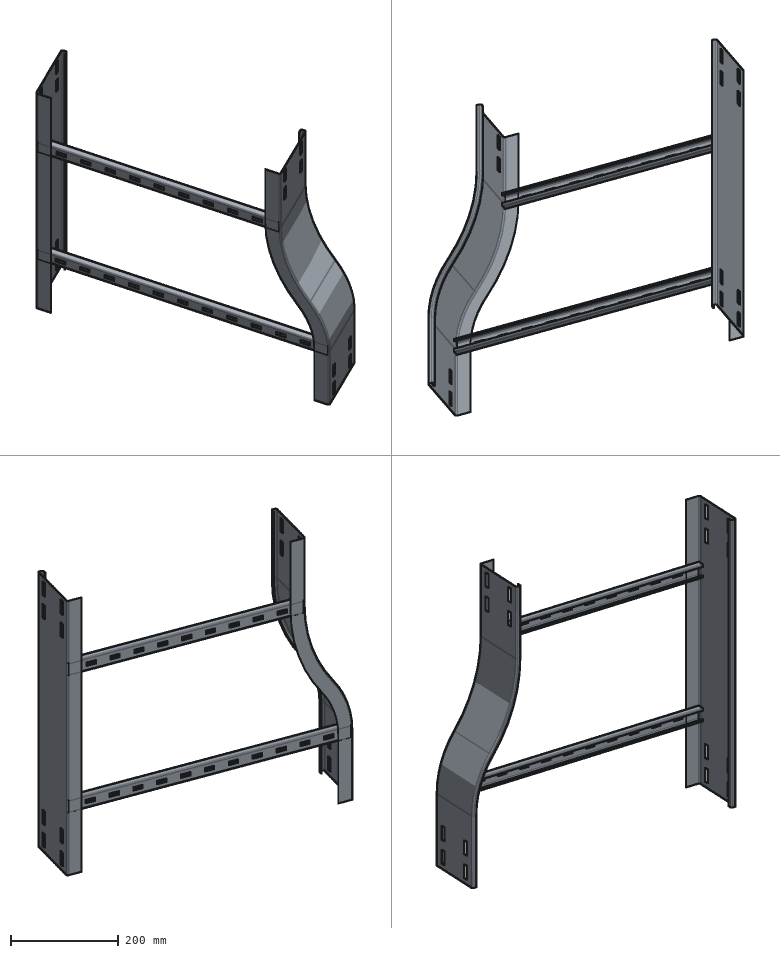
import cadquery as cq
import math

length = 600.0
depth = 120.0
sheet = 1.5

rail_bend = 3.5
front_flange = 31.0
back_fold = 11.5
back_lip = 10.0

wall_slot_length = 29.0
wall_slot_width = 9.0
wall_slot_spacing = 74.0
wall_slot_first = 25.0
wall_slot_pitch = 50.0
wall_slot_cut = 4 * sheet

offset = length / 6
bend_start = length / 4
bend_end = length - bend_start
bend_height = bend_end - bend_start
bend_angle = 2 * math.atan(offset / bend_height)
upper_radius = 300.0
lower_radius = bend_height / math.sin(bend_angle) - upper_radius
narrow_width = length - offset

rung_height = 29.5
rung_depth = 15.5
rung_lip = 6.0
rung_bend = 2.5
rung_end_gap = 4.0
rung_slot_length = 20.0
rung_slot_width = 7.0
rung_slot_pitch = length / 12
rung_slot_cut = 3 * sheet

bottom_rung = (length, bend_start, 11, length / 2)
top_rung = (narrow_width, bend_end, 9, 252.0)


def rounded_path(corners, radius, directions):
    """Edges along the corners, with every right-angled corner rounded to the radius."""
    edges = []
    start = corners[0]
    for corner, before, after in zip(corners[1:-1], directions, directions[1:]):
        arc_start = corner - before * radius
        arc_end = corner + after * radius
        centre = arc_start + after * radius
        arc_middle = centre + (before - after).normalized() * radius
        edges.append(cq.Edge.makeLine(start, arc_start))
        edges.append(cq.Edge.makeThreePointArc(arc_start, arc_middle, arc_end))
        start = arc_end
    edges.append(cq.Edge.makeLine(start, corners[-1]))
    return edges


def folded_section(points, bend_radius):
    """Closed section of a folded sheet. The points run along its outside and turn left at each fold."""
    outer = [cq.Vector(x, y) for x, y in points]
    directions = [(end - start).normalized() for start, end in zip(outer, outer[1:])]
    to_left = [cq.Vector(-direction.y, direction.x) for direction in directions]

    inner = [outer[0] + to_left[0] * sheet]
    for corner, before, after in zip(outer[1:-1], to_left, to_left[1:]):
        inner.append(corner + (before + after) * sheet)
    inner.append(outer[-1] + to_left[-1] * sheet)

    edges = rounded_path(outer, bend_radius, directions)
    edges += rounded_path(inner, bend_radius - sheet, directions)
    edges.append(cq.Edge.makeLine(outer[0], inner[0]))
    edges.append(cq.Edge.makeLine(outer[-1], inner[-1]))
    return cq.Wire.combine(edges)[0]


def rail_section():
    """Section of the left rail in the XY plane, with the outer face of its wall at X = 0."""
    return folded_section(
        [
            (back_fold, depth - back_lip),
            (back_fold, depth),
            (0, depth),
            (0, 0),
            (front_flange, 0),
        ],
        rail_bend,
    )


def wall_slots(wall_x, end_z, inward):
    """Cutters for the four slots at one end of a rail; inward is the Z direction away from that end."""
    cutters = cq.Workplane()
    for row in range(2):
        slot_z = end_z + inward * (wall_slot_first + row * wall_slot_pitch)
        for side in (-1, 1):
            slot_y = depth / 2 + side * wall_slot_spacing / 2
            cutter = cq.Workplane().box(wall_slot_cut, wall_slot_width, wall_slot_length)
            cutters = cutters.add(cutter.translate((wall_x, slot_y, slot_z)))
    return cutters.combine()


def left_rail():
    """Straight rail with slots at both ends."""
    rail = cq.Workplane(cq.Solid.extrudeLinear(rail_section(), [], cq.Vector(0, 0, length)))
    return rail.cut(wall_slots(0, 0, 1)).cut(wall_slots(0, length, -1))


def right_rail_path():
    """Line, two opposed tangent arcs and line along the outer face of the right rail."""
    def lower_arc(angle):
        return (
            length - lower_radius * (1 - math.cos(angle)),
            bend_start + lower_radius * math.sin(angle),
        )

    def upper_arc(angle):
        return (
            narrow_width + upper_radius * (1 - math.cos(angle)),
            bend_end - upper_radius * math.sin(angle),
        )

    return (
        cq.Workplane("XZ")
        .moveTo(length, 0)
        .lineTo(length, bend_start)
        .threePointArc(lower_arc(bend_angle / 2), lower_arc(bend_angle))
        .threePointArc(upper_arc(bend_angle / 2), (narrow_width, bend_end))
        .lineTo(narrow_width, length)
        .wire()
        .val()
    )


def right_rail():
    """Mirrored rail section swept along the S-bend, with slots at both ends."""
    section = rail_section().mirror("YZ").translate(cq.Vector(length, 0, 0))
    rail = cq.Workplane(cq.Solid.sweep(section, [], right_rail_path()))
    return rail.cut(wall_slots(length, 0, 1)).cut(wall_slots(narrow_width, length, -1))


def rung(ladder_width, centre_z, slot_count, slots_centre_x):
    """Slotted cross channel whose front web lies on the inside of both front flanges."""
    half_height = rung_height / 2
    section = folded_section(
        [
            (rung_depth, half_height - rung_lip),
            (rung_depth, half_height),
            (0, half_height),
            (0, -half_height),
            (rung_depth, -half_height),
            (rung_depth, rung_lip - half_height),
        ],
        rung_bend,
    )
    rung_length = ladder_width - 2 * rung_end_gap
    plane = cq.Plane.named("YZ", origin=(rung_end_gap, sheet, centre_z))
    section = section.moved(cq.Location(plane))
    channel = cq.Workplane(cq.Solid.extrudeLinear(section, [], cq.Vector(rung_length, 0, 0)))
    slots = (
        cq.Workplane("XZ", origin=(slots_centre_x, 0, centre_z))
        .rarray(rung_slot_pitch, 6, slot_count, 1)
        .rect(rung_slot_length, rung_slot_width)
        .extrude(-rung_slot_cut)
    )
    return channel.cut(slots)


rails = [left_rail(), right_rail()]
rungs = [rung(*data) for data in (bottom_rung, top_rung)]

result = cq.Compound.makeCompound([body.val() for body in rails + rungs])